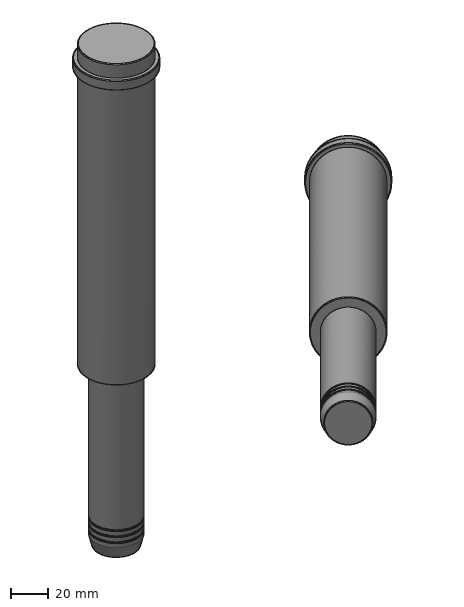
import cadquery as cq

total_height = 320.0
shoulder_height = 115.0
collar_bottom = 304.5
collar_top = 311.0
nose_height = 7.7

body_radius = 42.0 / 2
collar_radius = 47.0 / 2
stem_radius = 30.0 / 2
nose_radius = 26.5 / 2

edge_bevel = 0.5

groove_count = 3
groove_pitch = 4.0
groove_width = 1.0
groove_depth = 0.5
first_groove_bottom = 10.2


def ring_groove(bottom):
    """Ring of material to remove from the stem surface."""
    return (
        cq.Workplane("XY")
        .workplane(offset=bottom)
        .circle(stem_radius + groove_depth)
        .circle(stem_radius - groove_depth)
        .extrude(groove_width)
    )


profile = [
    (0, 0),
    (nose_radius - edge_bevel, 0),
    (nose_radius, edge_bevel),
    (stem_radius, nose_height),
    (stem_radius, shoulder_height),
    (body_radius - edge_bevel, shoulder_height),
    (body_radius, shoulder_height + edge_bevel),
    (body_radius, collar_bottom),
    (collar_radius - edge_bevel, collar_bottom),
    (collar_radius, collar_bottom + edge_bevel),
    (collar_radius, collar_top - edge_bevel),
    (collar_radius - edge_bevel, collar_top),
    (body_radius, collar_top),
    (body_radius, total_height - edge_bevel),
    (body_radius - edge_bevel, total_height),
    (0, total_height),
]

result = cq.Workplane("XZ").polyline(profile).close().revolve(360, (0, 0), (0, 1))

for index in range(groove_count):
    result = result.cut(ring_groove(first_groove_bottom + index * groove_pitch))